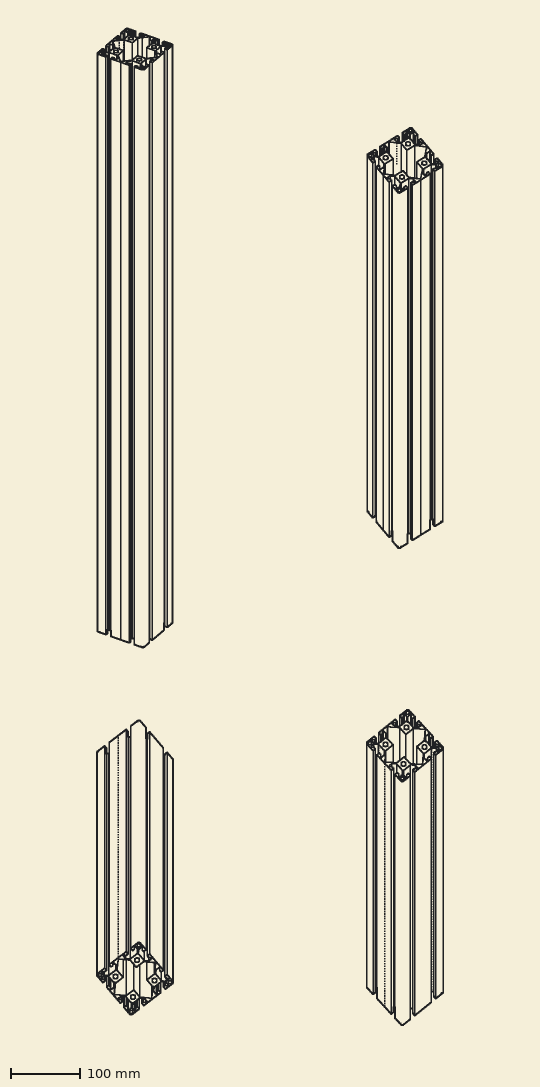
import cadquery as cq

side = 80.0
length = 1000.0
corner_radius = 2.5
half_side = side / 2

slot_pitch = 40.0
slot_mouth_width = 8.26
slot_depth = 12.4
slot_floor_width = 13.3
slot_head_width = 22.72
lip_thickness = 4.5
lip_flat_width = 2.96
face_wall = 2.25
head_roof_width = 20.0

cavity_half_width = 12.25
point_wall = 1.5
cavity_reach = half_side - point_wall

core_bore_diameter = 6.8
corner_hole_diameter = 5.0
corner_hole_wall = 1.5
corner_hole_pitch = side - 2 * corner_hole_wall - corner_hole_diameter


def quarter_turns(body):
    """The body and its three copies turned about Z, joined together."""
    joined = body
    for quarter in range(1, 4):
        joined = joined.union(body.rotate((0, 0, 0), (0, 0, 1), 90 * quarter))
    return joined


def outer_bar():
    """Square bar with rounded long edges."""
    return cq.Workplane("XY").rect(side, side).extrude(length).edges("|Z").fillet(corner_radius)


def cavity():
    """Plus-shaped central cavity."""
    shoulder = cavity_reach - cavity_half_width
    outline = [
        (-cavity_half_width, 0),
        (cavity_half_width, 0),
        (cavity_half_width, shoulder),
        (0, cavity_reach),
        (-cavity_half_width, shoulder),
    ]
    return quarter_turns(cq.Workplane("XY").polyline(outline).close().extrude(length))


def t_slot(centre_x):
    """Slot in the +Y face: mouth between lips, wide head, 45-degree flanks down to a flat floor."""
    mouth = slot_mouth_width / 2
    head = slot_head_width / 2
    roof = head_roof_width / 2
    floor = slot_floor_width / 2
    lip_y = half_side - lip_thickness
    roof_y = half_side - face_wall
    floor_y = half_side - slot_depth
    flank_top_y = floor_y + head - floor
    right_half = [
        (mouth, half_side),
        (mouth, lip_y),
        (mouth + lip_flat_width, lip_y),
        (roof, roof_y),
        (head, roof_y),
        (head, flank_top_y),
        (floor, floor_y),
    ]
    left_half = [(-x, y) for x, y in reversed(right_half)]
    outline = [(centre_x + x, y) for x, y in right_half + left_half]
    return cq.Workplane("XY").polyline(outline).close().extrude(length)


def four_holes(diameter, pitch):
    """Four through holes centred on the corners of a square."""
    centres = cq.Workplane("XY").rect(pitch, pitch, forConstruction=True).vertices()
    return centres.circle(diameter / 2).extrude(length)


slot_pair = t_slot(-slot_pitch / 2).union(t_slot(slot_pitch / 2))

result = (
    outer_bar()
    .cut(cavity())
    .cut(four_holes(core_bore_diameter, slot_pitch))
    .cut(four_holes(corner_hole_diameter, corner_hole_pitch))
)
for quarter in range(4):
    result = result.cut(slot_pair.rotate((0, 0, 0), (0, 0, 1), 90 * quarter))